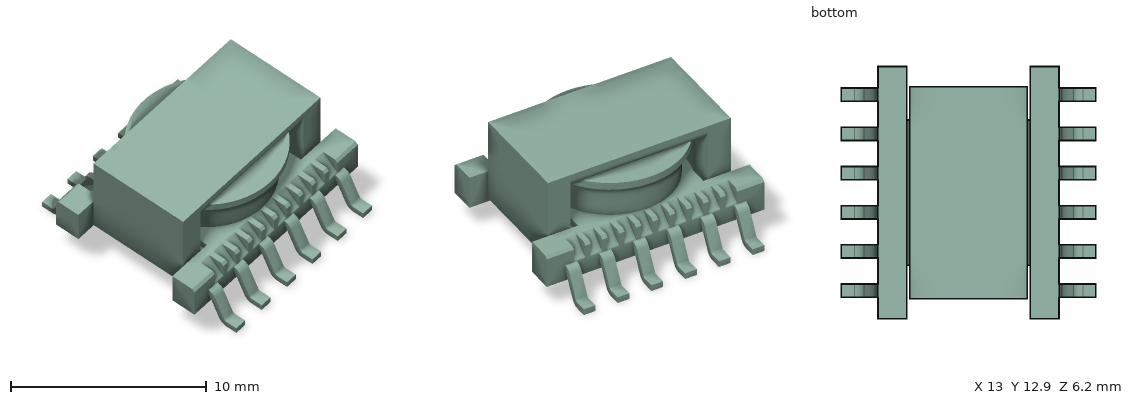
import cadquery as cq
import math


span_x = 13.0
rail_length = 12.9
total_height = 6.2

core_width = 6.0
core_length = 10.84
core_height = 4.9
core_bottom = total_height - core_height
window_length = 8.14
yoke_thickness = 0.85
yoke_fillet = 0.5
leg_hollow_dia = 8.87
post_dia = 4.25
window_bottom = core_bottom + yoke_thickness
window_top = total_height - yoke_thickness

flange_dia = 8.45
flange_thickness = 0.43
winding_dia = 7.4
plate_length = 7.42
plate_thickness = 0.45

rail_outer_x = 4.63
rail_inner_x = 3.15
rail_bottom = 1.0
rail_top = 2.92
rail_chamfer = 0.15

notch_count = 10
notch_pitch = 1.0
notch_width = 0.68
notch_inner_x = 3.65
notch_outer_z = 2.02
notch_rounding = 0.13

pin_count = 6
pin_pitch = 2.0
pin_width = 0.69
pin_thickness = 0.36
pin_top = 1.98
pin_bend_start_x = 4.58
pin_root_x = 3.9
bend_inner_radius = 0.18
bend_outer_radius = bend_inner_radius + pin_thickness
bend_angle = math.radians(63)


def box(x_min, x_max, length_y, z_min, z_max):
    """Box between two X and two Z limits, centred on Y."""
    return (
        cq.Workplane("XY", origin=((x_min + x_max) / 2, 0, z_min))
        .box(x_max - x_min, length_y, z_max - z_min, centered=(True, True, False))
    )


def disc(diameter, z_min, z_max):
    """Upright cylinder on the Z axis."""
    return cq.Workplane("XY", origin=(0, 0, z_min)).circle(diameter / 2).extrude(z_max - z_min)


def row_positions(count, pitch):
    """Y positions of a row centred on Y = 0."""
    return [(i - (count - 1) / 2) * pitch for i in range(count)]


def make_core():
    half_width = core_width / 2
    block = box(-half_width, half_width, core_length, core_bottom, total_height)
    window = box(-half_width, half_width, window_length, window_bottom, window_top)
    core = block.cut(window)
    long_window_edges = cq.selectors.BoxSelector(
        (-core_width, -window_length / 2, core_bottom + yoke_thickness / 2),
        (core_width, window_length / 2, total_height - yoke_thickness / 2),
    )
    core = core.edges("|Y").edges(long_window_edges).fillet(yoke_fillet)
    core = core.cut(disc(leg_hollow_dia, window_bottom, window_top))
    return core.union(disc(post_dia, window_bottom, window_top))


def make_bobbin():
    flange_bottom = window_top - flange_thickness
    flange = disc(flange_dia, flange_bottom, window_top)
    winding = disc(winding_dia, rail_top, flange_bottom)
    plate = box(-rail_inner_x, rail_inner_x, plate_length, rail_top - plate_thickness, rail_top)
    return plate.union(winding).union(flange)


def make_notch():
    """Cutter for one notch in the +X rail; its floor runs out tangentially at both ends."""
    drop = rail_top - notch_outer_z
    run = rail_outer_x - notch_inner_x
    slope = math.atan2(drop, run)

    top_tangent = notch_rounding * math.tan(slope / 2)
    side_turn = math.pi / 2 - slope
    side_tangent = notch_rounding * math.tan(side_turn / 2)
    along_x = math.cos(slope)
    along_z = math.sin(slope)

    top_start = (notch_inner_x - top_tangent, rail_top)
    floor_start = (notch_inner_x + top_tangent * along_x, rail_top - top_tangent * along_z)
    floor_end = (rail_outer_x - side_tangent * along_x, notch_outer_z + side_tangent * along_z)
    side_end = (rail_outer_x, notch_outer_z - side_tangent)
    top_middle = (
        top_start[0] + notch_rounding * math.sin(slope / 2),
        rail_top - notch_rounding * (1 - math.cos(slope / 2)),
    )
    side_middle = (
        rail_outer_x - notch_rounding * (1 - math.cos(side_turn / 2)),
        side_end[1] + notch_rounding * math.sin(side_turn / 2),
    )
    return (
        cq.Workplane("XZ")
        .moveTo(*top_start)
        .threePointArc(top_middle, floor_start)
        .lineTo(*floor_end)
        .threePointArc(side_middle, side_end)
        .lineTo(rail_outer_x, rail_top)
        .close()
        .extrude(notch_width / 2, both=True)
    )


def make_rail():
    """The +X rail with its row of wire notches."""
    rail = box(rail_inner_x, rail_outer_x, rail_length, rail_bottom, rail_top)
    rail = rail.edges(">X and >Z").chamfer(rail_chamfer)
    notch = make_notch()
    for y in row_positions(notch_count, notch_pitch):
        rail = rail.cut(notch.translate((0, y, 0)))
    return rail


def make_pin():
    """One +X pin: a level root, a sloping shank and a flat foot, with bends concentric on both faces."""
    upper_z = pin_top - bend_outer_radius
    lower_z = bend_outer_radius
    radius_sum = bend_inner_radius + bend_outer_radius
    shank_drop = upper_z - lower_z + radius_sum * math.cos(bend_angle)
    lower_x = pin_bend_start_x + radius_sum * math.sin(bend_angle) + shank_drop / math.tan(bend_angle)
    tip_x = span_x / 2

    def upper_bend(radius, angle):
        return (pin_bend_start_x + radius * math.sin(angle), upper_z + radius * math.cos(angle))

    def lower_bend(radius, angle):
        return (lower_x - radius * math.sin(angle), lower_z - radius * math.cos(angle))

    half_bend = bend_angle / 2
    return (
        cq.Workplane("XZ")
        .moveTo(pin_root_x, pin_top)
        .lineTo(pin_bend_start_x, pin_top)
        .threePointArc(upper_bend(bend_outer_radius, half_bend), upper_bend(bend_outer_radius, bend_angle))
        .lineTo(*lower_bend(bend_inner_radius, bend_angle))
        .threePointArc(lower_bend(bend_inner_radius, half_bend), lower_bend(bend_inner_radius, 0))
        .lineTo(tip_x, pin_thickness)
        .lineTo(tip_x, 0)
        .lineTo(lower_x, 0)
        .threePointArc(lower_bend(bend_outer_radius, half_bend), lower_bend(bend_outer_radius, bend_angle))
        .lineTo(*upper_bend(bend_inner_radius, bend_angle))
        .threePointArc(upper_bend(bend_inner_radius, half_bend), upper_bend(bend_inner_radius, 0))
        .lineTo(pin_root_x, pin_top - pin_thickness)
        .close()
        .extrude(pin_width / 2, both=True)
    )


def make_terminal_side():
    """The +X rail together with its row of pins."""
    side = make_rail()
    pin = make_pin()
    for y in row_positions(pin_count, pin_pitch):
        side = side.union(pin.translate((0, y, 0)))
    return side


terminal_side = make_terminal_side()
result = (
    make_core()
    .union(make_bobbin())
    .union(terminal_side)
    .union(terminal_side.mirror("YZ"))
)